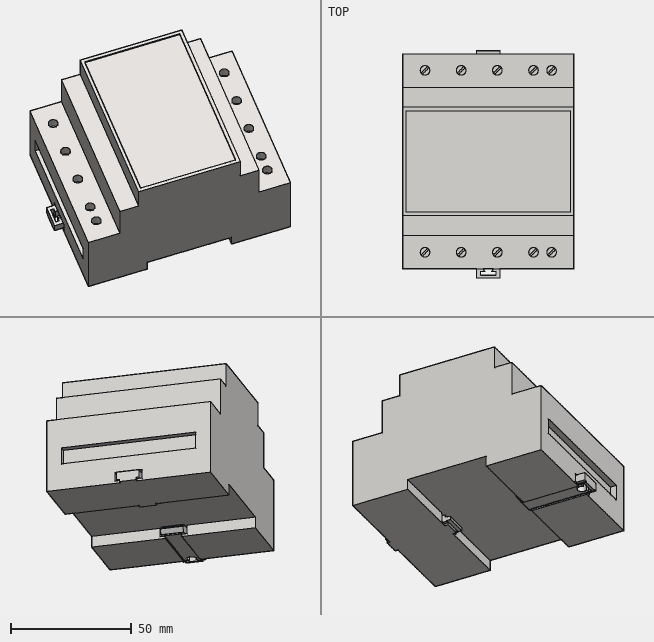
import cadquery as cq

OVERALL_LENGTH = 94.7

WIDTH = 71.4
HEIGHT = 57.8
BASE_LENGTH, BASE_TOP = 89.6, 31.8
MIDDLE_LENGTH, MIDDLE_TOP = 61.65, 47.5
CROWN_LENGTH = 45.1

CHANNEL_LENGTH = 37.3
CHANNEL_HEIGHT = 4.8

PANEL_INSET = 1.5
PANEL_DEPTH = 0.7

WINDOW_WIDTH = 58.5
WINDOW_BOTTOM, WINDOW_TOP = 11.65, 18.8
WINDOW_DEPTH = 2.8

SCREW_PITCH = 15.1
FIRST_SCREW_X = -26.3
SCREW_STEPS = (0, 1, 2, 3, 3.5)
SCREW_Y = 37.9
SCREW_HOLE_DIAMETER = 4.0
SCREW_HOLE_DEPTH = 4.7
DRIVER_SLOT_WIDTH = 0.8
DRIVER_SLOT_DEPTH = 0.5
DRIVER_SLOT_ANGLE = 45

GUIDE_WIDTH = 11.9
LIP_OPENING = 7.2
LIP_HEIGHT = 1.0

CLIP_WIDTH = 9.85
RIB_WIDTH = LIP_OPENING

HOOK_OUTER_Y = 46.1
HOOK_BAR_TOP = 4.45
HOOK_NECK_Y = 17.9
HOOK_RIB_Y = 17.0
HOOK_TIP_Y = 15.2
HOOK_SLOPE_TOP, HOOK_SLOPE_BOTTOM = 3.6, 2.7
HOOK_TIP_BOTTOM = 1.3

LATCH_OUTER_Y = HOOK_OUTER_Y - OVERALL_LENGTH
LATCH_RIB_BOTTOM = 0.7
LATCH_BAR_BOTTOM = 1.2
LATCH_NECK_Y = -17.4
LATCH_TIP_Y = -15.8
LATCH_BEVEL_Y = -16.5
LATCH_HEEL_Y = -17.1
LATCH_BEVEL_TOP, LATCH_TIP_TOP, LATCH_TIP_BOTTOM = 4.1, 3.7, 3.3

PULL_SLOT_WIDTH = 6.4
PULL_SLOT_INNER_Y, PULL_SLOT_OUTER_Y = -45.9, -47.35
PULL_HOLE_DIAMETER = 4.0
PULL_HOLE_Y = -44.5


def block(width, y_range, z_range):
    """Box centred on X = 0 between two Y and two Z positions."""
    y_low, y_high = sorted(y_range)
    z_low, z_high = z_range
    return cq.Workplane("XY").box(
        width, y_high - y_low, z_high - z_low, centered=(True, False, False)
    ).translate((0, y_low, z_low))


def centred_block(width, length, z_range):
    return block(width, (-length / 2, length / 2), z_range)


def side_profile(points, width):
    """Prism of a YZ outline, centred on X = 0."""
    return cq.Workplane("YZ").polyline(points).close().extrude(width / 2, both=True)


def stepped_block():
    base = centred_block(WIDTH, BASE_LENGTH, (0, BASE_TOP))
    middle = centred_block(WIDTH, MIDDLE_LENGTH, (0, MIDDLE_TOP))
    crown = centred_block(WIDTH, CROWN_LENGTH, (0, HEIGHT))
    return base.union(middle).union(crown)


def panel_recess():
    margin = 2 * PANEL_INSET
    return centred_block(WIDTH - margin, CROWN_LENGTH - margin, (HEIGHT - PANEL_DEPTH, HEIGHT))


def terminal_window(side):
    outer_y = side * BASE_LENGTH / 2
    inner_y = outer_y - side * WINDOW_DEPTH
    return block(WINDOW_WIDTH, (outer_y, inner_y), (WINDOW_BOTTOM, WINDOW_TOP))


def screw_hole():
    """Round hole below Z = 0, with the driver slot sunk into its floor."""
    hole = cq.Workplane("XY").circle(SCREW_HOLE_DIAMETER / 2).extrude(-SCREW_HOLE_DEPTH)
    slot_bottom = -SCREW_HOLE_DEPTH - DRIVER_SLOT_DEPTH
    slot = centred_block(SCREW_HOLE_DIAMETER, DRIVER_SLOT_WIDTH, (slot_bottom, 0))
    slot = slot.rotate((0, 0, 0), (0, 0, 1), DRIVER_SLOT_ANGLE)
    reach = cq.Workplane("XY").circle(SCREW_HOLE_DIAMETER / 2).extrude(slot_bottom)
    return hole.union(slot.intersect(reach))


def clip_guide():
    opening = centred_block(LIP_OPENING, BASE_LENGTH, (0, CHANNEL_HEIGHT))
    return opening.union(centred_block(GUIDE_WIDTH, BASE_LENGTH, (LIP_HEIGHT, CHANNEL_HEIGHT)))


def fixed_hook():
    bar = side_profile(
        [
            (HOOK_OUTER_Y, LIP_HEIGHT),
            (HOOK_OUTER_Y, HOOK_BAR_TOP),
            (HOOK_NECK_Y, HOOK_BAR_TOP),
            (HOOK_NECK_Y, HOOK_SLOPE_TOP),
            (HOOK_TIP_Y, HOOK_SLOPE_BOTTOM),
            (HOOK_TIP_Y, HOOK_TIP_BOTTOM),
            (HOOK_RIB_Y, HOOK_TIP_BOTTOM),
            (HOOK_RIB_Y, LIP_HEIGHT),
        ],
        CLIP_WIDTH,
    )
    return bar.union(block(RIB_WIDTH, (HOOK_RIB_Y, HOOK_OUTER_Y), (0, LIP_HEIGHT)))


def make_housing():
    housing = stepped_block()
    housing = housing.cut(centred_block(WIDTH, CHANNEL_LENGTH, (0, CHANNEL_HEIGHT)))
    housing = housing.cut(panel_recess()).cut(clip_guide())
    for side in (-1, 1):
        housing = housing.cut(terminal_window(side))
        for step in SCREW_STEPS:
            screw_x = FIRST_SCREW_X + step * SCREW_PITCH
            housing = housing.cut(screw_hole().translate((screw_x, side * SCREW_Y, BASE_TOP)))
    return housing.union(fixed_hook())


def pull_opening():
    z_range = (0, CHANNEL_HEIGHT)
    slot = block(PULL_SLOT_WIDTH, (PULL_SLOT_INNER_Y, PULL_SLOT_OUTER_Y), z_range)
    hole = cq.Workplane("XY").center(0, PULL_HOLE_Y).circle(PULL_HOLE_DIAMETER / 2).extrude(CHANNEL_HEIGHT)
    return slot.union(hole)


def make_latch():
    bar = side_profile(
        [
            (LATCH_OUTER_Y, LATCH_BAR_BOTTOM),
            (LATCH_OUTER_Y, CHANNEL_HEIGHT),
            (LATCH_NECK_Y, CHANNEL_HEIGHT),
            (LATCH_NECK_Y, LATCH_BEVEL_TOP),
            (LATCH_BEVEL_Y, LATCH_BEVEL_TOP),
            (LATCH_TIP_Y, LATCH_TIP_TOP),
            (LATCH_TIP_Y, LATCH_TIP_BOTTOM),
            (LATCH_HEEL_Y, LATCH_BAR_BOTTOM),
        ],
        CLIP_WIDTH,
    )
    rib = block(RIB_WIDTH, (LATCH_OUTER_Y, LATCH_NECK_Y), (LATCH_RIB_BOTTOM, LATCH_BAR_BOTTOM))
    return bar.union(rib).cut(pull_opening())


housing = make_housing()
latch = make_latch()

result = cq.Compound.makeCompound([housing.solids().val(), latch.solids().val()])